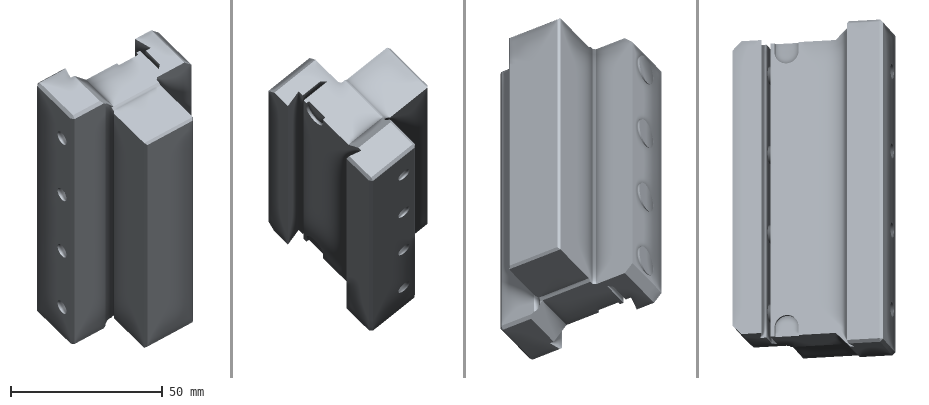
import cadquery as cq
import math


JAW_LENGTH = 110.0
BLOCK_LENGTH = 100.0
SEAT_X = 5.3
BLOCK_BACK_X = 20.5
BLOCK_TOP_Y = 39.2
DOVETAIL_ANGLE = 15.0
JAW_TIP_Y = 12.0
JAW_CHAMFER = 1.0

SHANK_END_X = 40.0
SHANK_SIZE = 20.0
SHANK_FRONT_Y = 15.6
SHANK_TOP_Y = SHANK_FRONT_Y + SHANK_SIZE
SHANK_LENGTH = 98.3
SHANK_FLARE_WIDTH = 1.0
SHANK_END_CHAMFER = 0.8
RELIEF_RADIUS = 1.4
RELIEF_OFFSET = 0.8

RECESS_WIDTH = 8.1
RECESS_REACH = 7.0
RECESS_DEPTH = 1.1
RECESS_Y = 33.7

CLAMP_BACK_X = 18.4
CLAMP_TOP_Y = 50.7
CLAMP_TIP_Y = 41.0
CLAMP_STEP_X = 6.4
CLAMP_UNDERSIDE_Y = 40.7
CLAMP_END_CHAMFER = 3.0
SLOPE_SUM = 54.9

SCREW_COUNT = 4
SCREW_PITCH = 27.1
SCREW_TILT = 5.0
SCREW_HOLE_X = 14.7
HOLE_DIAMETER = 5.0
SCREW_DIAMETER = 6.0
HEAD_DIAMETER = 10.0
HEAD_HEIGHT = 6.0
TIP_DISTANCE = 27.5
HEAD_TOP_DISTANCE = 51.3
HEAD_UNDERSIDE_DISTANCE = HEAD_TOP_DISTANCE - HEAD_HEIGHT
CUT_MARGIN = 11.0

SCREW_HEIGHTS = [(i - (SCREW_COUNT - 1) / 2) * SCREW_PITCH for i in range(SCREW_COUNT)]
DOVETAIL_SLOPE = math.tan(math.radians(DOVETAIL_ANGLE))


def prism(points, length):
    """Extrude an XY outline along Z, centred on Z = 0."""
    return cq.Workplane("XY").polyline(points).close().extrude(length / 2, both=True)


def on_screw_axis(diameter, start, end, height):
    """Cylinder on a screw axis between two distances from the front face."""
    tilt = math.radians(SCREW_TILT)
    direction = cq.Vector(-math.sin(tilt), math.cos(tilt), 0)
    base = cq.Vector(SCREW_HOLE_X, 0, height) + direction * start
    return cq.Workplane(cq.Solid.makeCylinder(diameter / 2, end - start, base, direction))


def make_screw(height):
    stem = on_screw_axis(SCREW_DIAMETER, TIP_DISTANCE, HEAD_TOP_DISTANCE, height)
    head = on_screw_axis(HEAD_DIAMETER, HEAD_UNDERSIDE_DISTANCE, HEAD_TOP_DISTANCE, height)
    return stem.union(head)


def make_jaw():
    """Fixed jaw with chamfered edges, a dovetail face and 45 degree shoulders."""
    shoulder_y = JAW_TIP_Y + (JAW_LENGTH - BLOCK_LENGTH) / 2
    jaw = prism([(0, 0), (BLOCK_BACK_X, 0), (BLOCK_BACK_X, shoulder_y), (0, shoulder_y)], JAW_LENGTH)
    jaw = jaw.faces("<Y or <X or >X").edges("not(>Y)").chamfer(JAW_CHAMFER)
    shouldered_outline = [
        (0, -JAW_LENGTH / 2),
        (JAW_TIP_Y, -JAW_LENGTH / 2),
        (shoulder_y, -BLOCK_LENGTH / 2),
        (shoulder_y, BLOCK_LENGTH / 2),
        (JAW_TIP_Y, JAW_LENGTH / 2),
        (0, JAW_LENGTH / 2),
    ]
    shouldered = cq.Workplane("YZ").polyline(shouldered_outline).close().extrude(BLOCK_BACK_X)
    root_y = JAW_TIP_Y - SEAT_X * DOVETAIL_SLOPE
    dovetail = prism([(0, JAW_TIP_Y), (SEAT_X, root_y), (SEAT_X, shoulder_y), (0, shoulder_y)], JAW_LENGTH)
    return jaw.intersect(shouldered).cut(dovetail)


def make_shank():
    """Square shank with a chamfered end, flared out to the block length at its root."""
    width = SHANK_END_X - BLOCK_BACK_X
    shank = cq.Workplane("XY").box(width, SHANK_SIZE, SHANK_LENGTH, centered=(False, False, True))
    shank = shank.translate((BLOCK_BACK_X, SHANK_FRONT_Y, 0))
    shank = shank.faces(">X").chamfer(SHANK_END_CHAMFER)
    flare_x = BLOCK_BACK_X + SHANK_FLARE_WIDTH
    flare = (
        cq.Workplane("XZ", origin=(0, SHANK_FRONT_Y, 0))
        .moveTo(BLOCK_BACK_X, -BLOCK_LENGTH / 2)
        .lineTo(flare_x, -SHANK_LENGTH / 2)
        .lineTo(flare_x, SHANK_LENGTH / 2)
        .lineTo(BLOCK_BACK_X, BLOCK_LENGTH / 2)
        .close()
        .extrude(-SHANK_SIZE)
    )
    return shank.union(flare)


def make_corner_relief():
    center = (BLOCK_BACK_X + RELIEF_OFFSET, SHANK_FRONT_Y - RELIEF_OFFSET)
    return cq.Workplane("XY").center(*center).circle(RELIEF_RADIUS).extrude(JAW_LENGTH / 2, both=True)


def make_seat_recess(end):
    """Flat recess with a half-round inner end, open at the block end on side end = +1 or -1."""
    radius = RECESS_WIDTH / 2
    round_z = BLOCK_LENGTH / 2 - RECESS_REACH + radius
    opening_z = BLOCK_LENGTH / 2 + CUT_MARGIN
    return (
        cq.Workplane("YZ", origin=(SEAT_X, 0, 0))
        .moveTo(RECESS_Y - radius, end * opening_z)
        .lineTo(RECESS_Y - radius, end * round_z)
        .threePointArc((RECESS_Y, end * (round_z - radius)), (RECESS_Y + radius, end * round_z))
        .lineTo(RECESS_Y + radius, end * opening_z)
        .close()
        .extrude(RECESS_DEPTH)
    )


def make_block():
    core = prism(
        [
            (SEAT_X, JAW_TIP_Y),
            (BLOCK_BACK_X, JAW_TIP_Y),
            (BLOCK_BACK_X, SHANK_TOP_Y),
            (SLOPE_SUM - SHANK_TOP_Y, SHANK_TOP_Y),
            (SLOPE_SUM - BLOCK_TOP_Y, BLOCK_TOP_Y),
            (SEAT_X, BLOCK_TOP_Y),
        ],
        BLOCK_LENGTH,
    )
    block = core.union(make_jaw()).union(make_shank())
    block = block.cut(make_corner_relief())
    for end in (1, -1):
        block = block.cut(make_seat_recess(end))
    for height in SCREW_HEIGHTS:
        block = block.cut(on_screw_axis(HOLE_DIAMETER, -CUT_MARGIN, TIP_DISTANCE, height))
        block = block.cut(make_screw(height))
    return block


def make_clamp():
    step_y = CLAMP_TIP_Y + CLAMP_STEP_X * DOVETAIL_SLOPE
    clamp = prism(
        [
            (0, CLAMP_TIP_Y),
            (CLAMP_STEP_X, step_y),
            (CLAMP_STEP_X, CLAMP_UNDERSIDE_Y),
            (SLOPE_SUM - CLAMP_UNDERSIDE_Y, CLAMP_UNDERSIDE_Y),
            (CLAMP_BACK_X, SLOPE_SUM - CLAMP_BACK_X),
            (CLAMP_BACK_X, CLAMP_TOP_Y),
            (0, CLAMP_TOP_Y),
        ],
        BLOCK_LENGTH,
    )
    clamp = clamp.faces(">Y").edges("|X").chamfer(CLAMP_END_CHAMFER)
    counterbore_end = HEAD_TOP_DISTANCE + CUT_MARGIN
    for height in SCREW_HEIGHTS:
        clamp = clamp.cut(on_screw_axis(HEAD_DIAMETER, HEAD_UNDERSIDE_DISTANCE, counterbore_end, height))
        clamp = clamp.cut(on_screw_axis(SCREW_DIAMETER, TIP_DISTANCE, HEAD_UNDERSIDE_DISTANCE, height))
    return clamp


block = make_block()
clamp = make_clamp()
screws = [make_screw(height) for height in SCREW_HEIGHTS]

result = cq.Compound.makeCompound([block.val(), clamp.val(), *[screw.val() for screw in screws]])